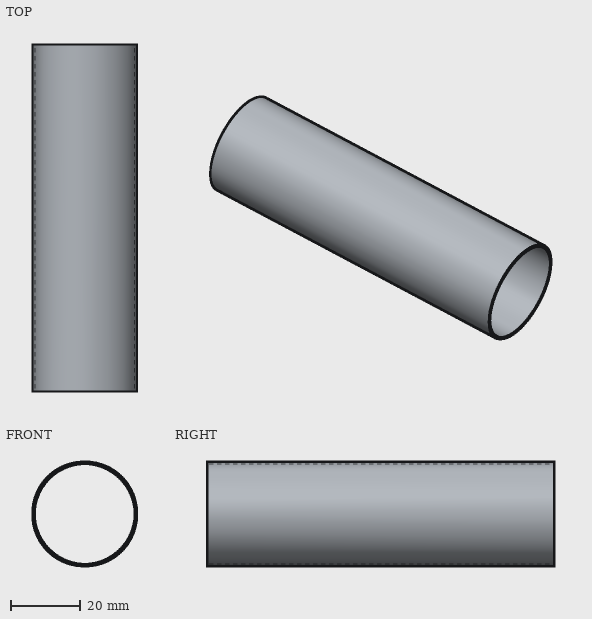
import cadquery as cq

length = 100.0
outer_diameter = 30.2
wall_thickness = 0.7

inner_diameter = outer_diameter - 2 * wall_thickness

result = (
    cq.Workplane("XZ", origin=(0, length / 2, 0))
    .circle(outer_diameter / 2)
    .circle(inner_diameter / 2)
    .extrude(length)
)